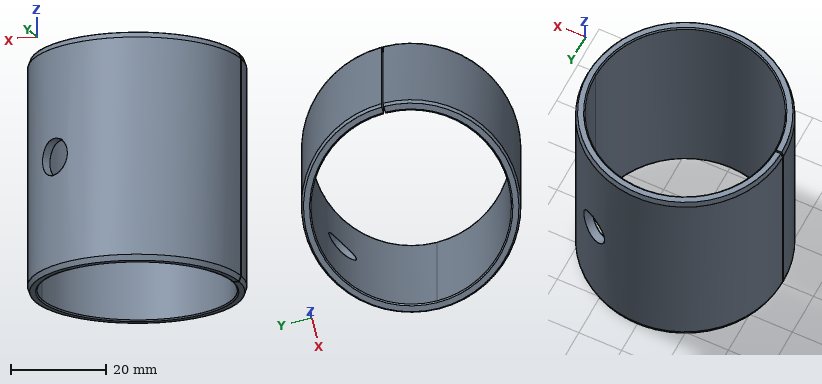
import cadquery as cq
import math

length = 50.0
outer_diameter = 46.0
wall = 2.0
outer_radius = outer_diameter / 2
inner_radius = outer_radius - wall

outer_bevel_length = 1.2
outer_bevel_angle = 20.0
outer_bevel_depth = outer_bevel_length * math.tan(math.radians(outer_bevel_angle))
inner_bevel = 0.3

seam_width = 0.4
oil_hole_diameter = 8.0
oil_hole_angle = 59.0


def sleeve():
    """Revolve the bevelled wall section about Z."""
    top = length / 2
    return (
        cq.Workplane("XZ")
        .moveTo(inner_radius, -top + inner_bevel)
        .lineTo(inner_radius + inner_bevel, -top)
        .lineTo(outer_radius - outer_bevel_depth, -top)
        .lineTo(outer_radius, -top + outer_bevel_length)
        .lineTo(outer_radius, top - outer_bevel_length)
        .lineTo(outer_radius - outer_bevel_depth, top)
        .lineTo(inner_radius + inner_bevel, top)
        .lineTo(inner_radius, top - inner_bevel)
        .close()
        .revolve(360, (0, 0, 0), (0, 1, 0))
    )


def seam_cutter():
    """Thin slab on the +Y side of the XZ plane that opens the -X wall over the full length."""
    return cq.Workplane("XY").box(outer_radius, seam_width, length).translate((-outer_radius, seam_width / 2, 0))


def oil_hole_cutter():
    """Radial cylinder from the axis out through one side of the wall."""
    return (
        cq.Workplane("YZ")
        .circle(oil_hole_diameter / 2)
        .extrude(outer_diameter)
        .rotate((0, 0, 0), (0, 0, 1), oil_hole_angle)
    )


result = sleeve().cut(seam_cutter()).cut(oil_hole_cutter())